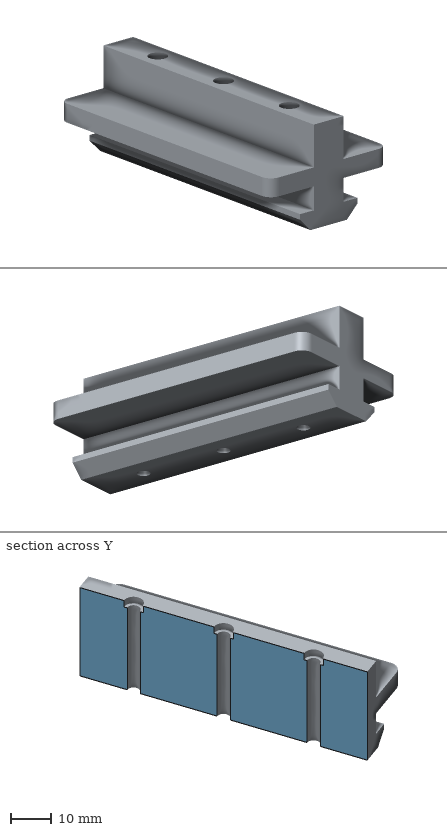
import cadquery as cq

length = 80.0
plate_width = 39.0

foot_chamfer = 3.5
foot_lip_height = 1.5
neck_height = 6.3
plate_thickness = 5.0
rail_height = 11.3

foot_height = foot_chamfer + foot_lip_height
plate_bottom = foot_height + neck_height
plate_top = plate_bottom + plate_thickness
total_height = plate_top + rail_height

foot_width = 19.0
web_width = 9.9
plate_corner_radius = 3.0

hole_count = 3
hole_pitch = 25.0
hole_diameter = 3.5
counterbore_diameter = 5.2
counterbore_depth = 2.0


def make_web():
    """Upright web running from the bottom face to the top of the rail."""
    return cq.Workplane("XY").box(length, web_width, total_height, centered=(True, True, False))


def make_plate():
    """Horizontal plate with rounded vertical corners, crossing the web."""
    plate = cq.Workplane("XY").workplane(offset=plate_bottom)
    plate = plate.box(length, plate_width, plate_thickness, centered=(True, True, False))
    return plate.edges("|Z").fillet(plate_corner_radius)


def make_foot():
    """T-slot foot along the bottom, with chamfered lower edges."""
    foot = cq.Workplane("XY").box(length, foot_width, foot_height, centered=(True, True, False))
    return foot.faces("<Z").edges("|X").chamfer(foot_chamfer)


def add_screw_holes(body):
    """Row of through holes, counterbored from the top of the rail."""
    row_start = -hole_pitch * (hole_count - 1) / 2
    centers = [(row_start + index * hole_pitch, 0) for index in range(hole_count)]
    top = cq.Workplane("XY").workplane(offset=total_height).pushPoints(centers)
    drills = top.circle(hole_diameter / 2).extrude(-total_height)
    counterbores = top.circle(counterbore_diameter / 2).extrude(-counterbore_depth)
    return body.cut(drills).cut(counterbores)


body = make_web().union(make_plate()).union(make_foot())
result = add_screw_holes(body)